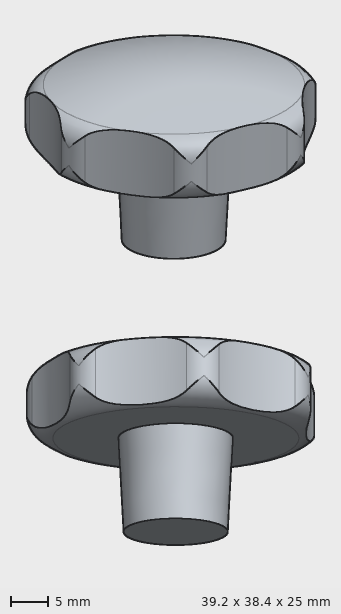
import cadquery as cq
import math

total_height = 25.0
lobe_count = 7
tip_reach = 20.0
edge_radius = 3.5
flute_reach = 17.5
dome_radius = 60.0
stem_height = 13.0
stem_end_radius = 7.0
stem_draft = 3.0

stem_root_radius = stem_end_radius + stem_height * math.tan(math.radians(stem_draft))
tip_centre_reach = tip_reach - edge_radius
half_pitch = math.pi / lobe_count
first_lobe_angle = math.pi / 2


def polar(reach, angle):
    return (reach * math.cos(angle), reach * math.sin(angle))


def make_head_blank():
    """Round head: flat underside, rounded rim, spherical top tangent to the rim."""
    dome_centre_z = total_height - dome_radius
    centre_gap = dome_radius - edge_radius
    rim_lean = math.asin(tip_centre_reach / centre_gap)
    upper_rim_z = dome_centre_z + centre_gap * math.cos(rim_lean)
    lower_rim_z = stem_height + edge_radius

    def dome_point(lean):
        return (dome_radius * math.sin(lean), dome_centre_z + dome_radius * math.cos(lean))

    def rim_point(centre_z, elevation):
        return (
            tip_centre_reach + edge_radius * math.cos(elevation),
            centre_z + edge_radius * math.sin(elevation),
        )

    rim_end_elevation = math.pi / 2 - rim_lean
    return (
        cq.Workplane("XZ")
        .moveTo(0, stem_height)
        .lineTo(tip_centre_reach, stem_height)
        .threePointArc(rim_point(lower_rim_z, -math.pi / 4), (tip_reach, lower_rim_z))
        .lineTo(tip_reach, upper_rim_z)
        .threePointArc(rim_point(upper_rim_z, rim_end_elevation / 2), dome_point(rim_lean))
        .threePointArc(dome_point(rim_lean / 2), (0, total_height))
        .close()
        .revolve(360, (0, 0, 0), (0, 1, 0))
    )


def make_lobed_prism():
    """Prism with convex lobe tips joined tangentially by concave flutes."""
    touch_offset = flute_reach - edge_radius
    flute_centre_reach = (tip_centre_reach**2 - touch_offset**2) / (
        2 * (tip_centre_reach * math.cos(half_pitch) - touch_offset)
    )
    flute_radius = flute_centre_reach - flute_reach
    tip_share = edge_radius / (edge_radius + flute_radius)

    def tangent_point(lobe_angle, side):
        tip_x, tip_y = polar(tip_centre_reach, lobe_angle)
        flute_x, flute_y = polar(flute_centre_reach, lobe_angle + side * half_pitch)
        return (tip_x + tip_share * (flute_x - tip_x), tip_y + tip_share * (flute_y - tip_y))

    outline = cq.Workplane("XY").moveTo(*tangent_point(first_lobe_angle, -1))
    for index in range(lobe_count):
        lobe_angle = first_lobe_angle + 2 * half_pitch * index
        next_angle = lobe_angle + 2 * half_pitch
        outline = outline.threePointArc(polar(tip_reach, lobe_angle), tangent_point(lobe_angle, 1))
        outline = outline.threePointArc(
            polar(flute_reach, lobe_angle + half_pitch), tangent_point(next_angle, -1)
        )
    return outline.close().extrude(total_height)


def make_stem():
    """Conical stem that widens towards the head."""
    return (
        cq.Workplane("XZ")
        .lineTo(stem_end_radius, 0)
        .lineTo(stem_root_radius, stem_height)
        .lineTo(0, stem_height)
        .close()
        .revolve(360, (0, 0, 0), (0, 1, 0))
    )


head = make_head_blank().intersect(make_lobed_prism())
result = head.union(make_stem())